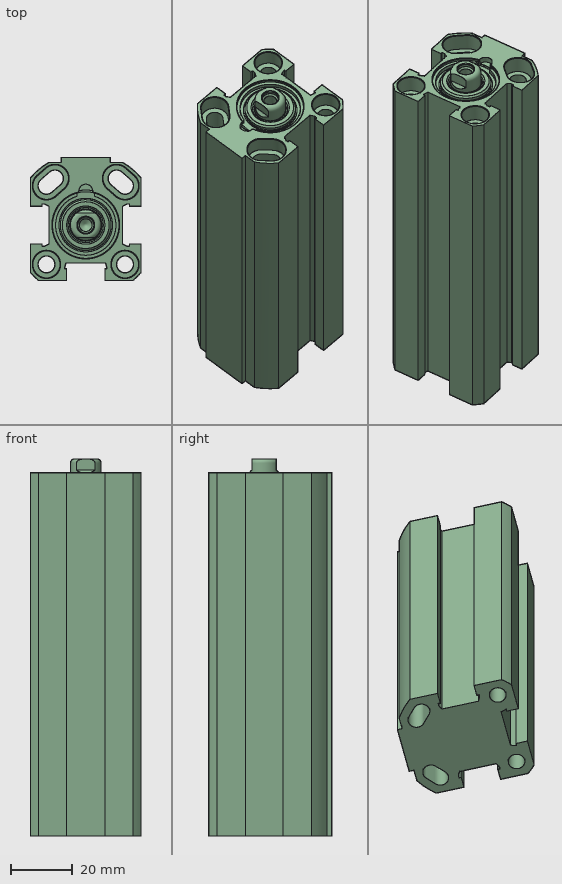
import cadquery as cq
import math

BODY_HEIGHT = 118.0
BODY_HALF_WIDTH = 18.0
CORNER_RADIUS = 23.65
SHOULDER_Y = 20.4
PAD_Y = 22.0
PAD_HALF_WIDTH = 8.0

SIDE_LIP_HALF_WIDTH = 6.1
SIDE_LIP_X = 14.2
SIDE_UNDERCUT = 0.7
SIDE_UNDERCUT_X = 13.3
SIDE_FLOOR_X = 12.0
FRONT_LIP_HALF_WIDTH = 6.2
FRONT_LIP_Y = 14.1
FRONT_UNDERCUT = 0.7
FRONT_FLOOR_HALF_WIDTH = 6.4
FRONT_FLOOR_Y = 12.3

CHAMFER_ANGLE = 45.0

MOUNT_OFFSET = 12.75
MOUNT_DIAMETER = 5.4
MOUNT_COUNTERBORE = 8.8
MOUNT_COUNTERBORE_DEPTH = 5.8
MOUNT_CHAMFER = 0.2
SLOT_SHIFT_X = 2.75
SLOT_SHIFT_Y = 2.4

RECESS_DIAMETER = 21.6
RECESS_DEPTH = 14.0
RECESS_CHAMFER = 0.2
RING_TOP_DEPTH = 0.9
RING_THICKNESS = 1.3
RING_OUTER_DIAMETER = 22.8
RING_INNER_DIAMETER = 19.6
RING_GAP = 5.6
NOTCH_DIAMETER = 4.4
NOTCH_Y = 11.1
NOTCH_DEPTH = 2.0

COVER_TOP_DEPTH = 0.55
COVER_BOSS_TOP_DIAMETER = 15.2
COVER_BOSS_DIAMETER = 16.5
COVER_BOSS_CHAMFER_HEIGHT = 0.5
COVER_STEP_DIAMETER = 17.4
COVER_STEP_DEPTH = 2.0
DISH_DIAMETER = 12.4
SEAL_DIAMETER = 11.4
DISH_DEPTH = 0.5
SEAL_HEIGHT = 3.0
SEAL_LIP_DIAMETER = 10.48

ROD_DIAMETER = 10.0
ROD_PROTRUSION = 4.5
ROD_TOP_FILLET = 1.4
FLAT_WIDTH = 8.0
FLAT_LENGTH = 3.7
THREAD_DIAMETER = 4.13
THREAD_DEPTH = 10.0
ENTRY_DIAMETER = 5.25
ENTRY_DEPTH = 1.2
ENTRY_RIM_DIAMETER = 5.8
DRILL_TIP_ANGLE = 118.0

RING_BOTTOM_DEPTH = RING_TOP_DEPTH + RING_THICKNESS
RECESS_FLOOR = BODY_HEIGHT - RECESS_DEPTH


def disc(diameter, bottom, top):
    """Solid cylinder about the Z axis between two heights."""
    return cq.Workplane("XY").workplane(offset=bottom).circle(diameter / 2).extrude(top - bottom)


def housing_outline():
    """Outer outline with round corners and the pad on the back."""
    corner = math.sqrt(CORNER_RADIUS**2 - BODY_HALF_WIDTH**2)
    shoulder_x = math.sqrt(CORNER_RADIUS**2 - SHOULDER_Y**2)
    diagonal = CORNER_RADIUS * math.sqrt(0.5)
    return (
        cq.Workplane("XY")
        .moveTo(0, -BODY_HALF_WIDTH)
        .lineTo(corner, -BODY_HALF_WIDTH)
        .threePointArc((diagonal, -diagonal), (BODY_HALF_WIDTH, -corner))
        .lineTo(BODY_HALF_WIDTH, corner)
        .threePointArc((diagonal, diagonal), (shoulder_x, SHOULDER_Y))
        .lineTo(PAD_HALF_WIDTH, SHOULDER_Y)
        .lineTo(PAD_HALF_WIDTH, PAD_Y)
        .lineTo(0, PAD_Y)
        .mirrorY()
    )


def side_groove():
    """Groove along the +X side, undercut behind its lips."""
    undercut_y = SIDE_LIP_HALF_WIDTH + SIDE_UNDERCUT
    return (
        cq.Workplane("XY")
        .moveTo(SIDE_FLOOR_X, 0)
        .lineTo(SIDE_FLOOR_X, SIDE_LIP_HALF_WIDTH)
        .lineTo(SIDE_UNDERCUT_X, undercut_y)
        .lineTo(SIDE_LIP_X, undercut_y)
        .lineTo(SIDE_LIP_X, SIDE_LIP_HALF_WIDTH)
        .lineTo(BODY_HALF_WIDTH, SIDE_LIP_HALF_WIDTH)
        .lineTo(BODY_HALF_WIDTH, 0)
        .mirrorX()
        .extrude(BODY_HEIGHT)
    )


def front_groove():
    """Groove along the -Y face, with slightly flared undercuts."""
    return (
        cq.Workplane("XY")
        .moveTo(0, -FRONT_FLOOR_Y)
        .lineTo(FRONT_FLOOR_HALF_WIDTH, -FRONT_FLOOR_Y)
        .lineTo(FRONT_LIP_HALF_WIDTH + FRONT_UNDERCUT, -FRONT_LIP_Y)
        .lineTo(FRONT_LIP_HALF_WIDTH, -FRONT_LIP_Y)
        .lineTo(FRONT_LIP_HALF_WIDTH, -BODY_HALF_WIDTH)
        .lineTo(0, -BODY_HALF_WIDTH)
        .mirrorY()
        .extrude(BODY_HEIGHT)
    )


def chamfered_hole(profile_at):
    """Through hole with a counterbore whose rim is chamfered; profile_at draws the outline."""
    hole = profile_at(0, MOUNT_DIAMETER).extrude(BODY_HEIGHT)
    floor = BODY_HEIGHT - MOUNT_COUNTERBORE_DEPTH
    counterbore = profile_at(floor, MOUNT_COUNTERBORE).extrude(MOUNT_COUNTERBORE_DEPTH)
    rim_diameter = MOUNT_COUNTERBORE + 2 * MOUNT_CHAMFER
    rim = profile_at(BODY_HEIGHT, rim_diameter).extrude(-MOUNT_CHAMFER, taper=CHAMFER_ANGLE)
    return hole.union(counterbore).union(rim)


def mounting_hole(side):
    """Counterbored hole at a front corner."""
    center_x = side * MOUNT_OFFSET

    def round_outline(height, diameter):
        plane = cq.Workplane("XY", origin=(center_x, -MOUNT_OFFSET, height))
        return plane.circle(diameter / 2)

    return chamfered_hole(round_outline)


def mounting_slot(side):
    """Counterbored slot at a back corner, running inward and toward the back pad."""
    travel = math.hypot(SLOT_SHIFT_X, SLOT_SHIFT_Y)
    angle = side * math.degrees(math.atan2(-SLOT_SHIFT_Y, SLOT_SHIFT_X))
    center_x = side * (MOUNT_OFFSET - SLOT_SHIFT_X / 2)
    center_y = MOUNT_OFFSET + SLOT_SHIFT_Y / 2

    def slot_outline(height, diameter):
        plane = cq.Workplane("XY", origin=(center_x, center_y, height))
        return plane.slot2D(travel + diameter, diameter, angle)

    return chamfered_hole(slot_outline)


def make_housing():
    """Extruded housing with grooves, mounting holes and the rod cover recess."""
    body = housing_outline().extrude(BODY_HEIGHT)
    groove = side_groove()
    body = body.cut(groove).cut(groove.mirror("YZ")).cut(front_groove())
    for side in (-1, 1):
        body = body.cut(mounting_hole(side)).cut(mounting_slot(side))
    recess = disc(RECESS_DIAMETER, RECESS_FLOOR, BODY_HEIGHT)
    recess_rim = (
        cq.Workplane("XY", origin=(0, 0, BODY_HEIGHT))
        .circle(RECESS_DIAMETER / 2 + RECESS_CHAMFER)
        .extrude(-RECESS_CHAMFER, taper=CHAMFER_ANGLE)
    )
    ring_groove = disc(RING_OUTER_DIAMETER, BODY_HEIGHT - RING_BOTTOM_DEPTH, BODY_HEIGHT - RING_TOP_DEPTH)
    notch = disc(NOTCH_DIAMETER, BODY_HEIGHT - NOTCH_DEPTH, BODY_HEIGHT).translate((0, NOTCH_Y, 0))
    return body.cut(recess).cut(recess_rim).cut(ring_groove).cut(notch)


def make_retaining_ring():
    """Flat C-shaped ring, open toward the pry notch."""
    bottom = BODY_HEIGHT - RING_BOTTOM_DEPTH
    top = BODY_HEIGHT - RING_TOP_DEPTH
    ring = disc(RING_OUTER_DIAMETER, bottom, top).cut(disc(RING_INNER_DIAMETER, bottom, top))
    gap = cq.Workplane("XY").box(RING_GAP, RING_OUTER_DIAMETER, RING_THICKNESS, centered=(True, False, False))
    return ring.cut(gap.translate((0, 0, bottom)))


def make_cover():
    """Rod cover with a stepped, chamfered boss, a shallow dish, a seal pocket and the rod bore."""
    top = BODY_HEIGHT - COVER_TOP_DEPTH
    flange_top = BODY_HEIGHT - RING_BOTTOM_DEPTH
    step_top = BODY_HEIGHT - COVER_STEP_DEPTH
    step_radius = COVER_STEP_DIAMETER / 2
    boss_radius = COVER_BOSS_DIAMETER / 2
    boss_top_radius = COVER_BOSS_TOP_DIAMETER / 2
    dish_radius = DISH_DIAMETER / 2
    seal_radius = SEAL_DIAMETER / 2
    dish_floor = top - DISH_DEPTH
    pocket_floor = dish_floor - SEAL_HEIGHT
    return (
        cq.Workplane("XZ")
        .polyline([
            (ROD_DIAMETER / 2, RECESS_FLOOR),
            (RECESS_DIAMETER / 2, RECESS_FLOOR),
            (RECESS_DIAMETER / 2, flange_top),
            (step_radius, flange_top),
            (step_radius, step_top),
            (boss_radius, step_top),
            (boss_radius, top - COVER_BOSS_CHAMFER_HEIGHT),
            (boss_top_radius, top),
            (dish_radius, top),
            (seal_radius, dish_floor),
            (seal_radius, pocket_floor),
            (ROD_DIAMETER / 2, pocket_floor),
        ])
        .close()
        .revolve(360, (0, 0), (0, 1))
    )


def make_seal():
    """Rod seal filling the pocket around the rod, with a chamfered inner lip."""
    top = BODY_HEIGHT - COVER_TOP_DEPTH - DISH_DEPTH
    bottom = top - SEAL_HEIGHT
    seal = disc(SEAL_DIAMETER, bottom, top).cut(disc(ROD_DIAMETER, bottom, top))
    inner_rim = seal.faces(">Z").edges(cq.selectors.RadiusNthSelector(0))
    return inner_rim.chamfer((SEAL_LIP_DIAMETER - ROD_DIAMETER) / 2)


def wrench_flat():
    """Material removed for the flat on the +Y side; its lower end runs out at 45 degrees."""
    top = BODY_HEIGHT + ROD_PROTRUSION
    bottom = top - FLAT_LENGTH
    runout = (ROD_DIAMETER - FLAT_WIDTH) / 2
    return (
        cq.Workplane("YZ")
        .polyline([
            (FLAT_WIDTH / 2, top),
            (FLAT_WIDTH / 2, bottom),
            (FLAT_WIDTH / 2 + runout, bottom - runout),
            (FLAT_WIDTH / 2 + runout, top),
        ])
        .close()
        .extrude(ROD_DIAMETER / 2, both=True)
    )


def threaded_hole():
    """Chamfered hole with a conical bottom in the rod end."""
    top = BODY_HEIGHT + ROD_PROTRUSION
    radius = THREAD_DIAMETER / 2
    entry_radius = ENTRY_DIAMETER / 2
    rim_radius = ENTRY_RIM_DIAMETER / 2
    entry_floor = top - ENTRY_DEPTH
    tip_length = radius / math.tan(math.radians(DRILL_TIP_ANGLE / 2))
    return (
        cq.Workplane("XZ")
        .polyline([
            (0, top),
            (rim_radius, top),
            (entry_radius, top - (rim_radius - entry_radius)),
            (entry_radius, entry_floor),
            (radius, entry_floor - (entry_radius - radius)),
            (radius, top - THREAD_DEPTH),
            (0, top - THREAD_DEPTH - tip_length),
        ])
        .close()
        .revolve(360, (0, 0), (0, 1))
    )


def make_rod():
    """Piston rod with a rounded end, two wrench flats and a threaded hole."""
    rod = disc(ROD_DIAMETER, RECESS_FLOOR, BODY_HEIGHT + ROD_PROTRUSION)
    rod = rod.faces(">Z").edges().fillet(ROD_TOP_FILLET)
    flat = wrench_flat()
    return rod.cut(flat).cut(flat.mirror("XZ")).cut(threaded_hole())


housing = make_housing()
retaining_ring = make_retaining_ring()
cover = make_cover()
seal = make_seal()
rod = make_rod()

result = cq.Compound.makeCompound(
    [housing.val(), retaining_ring.val(), cover.val(), seal.val(), rod.val()]
)